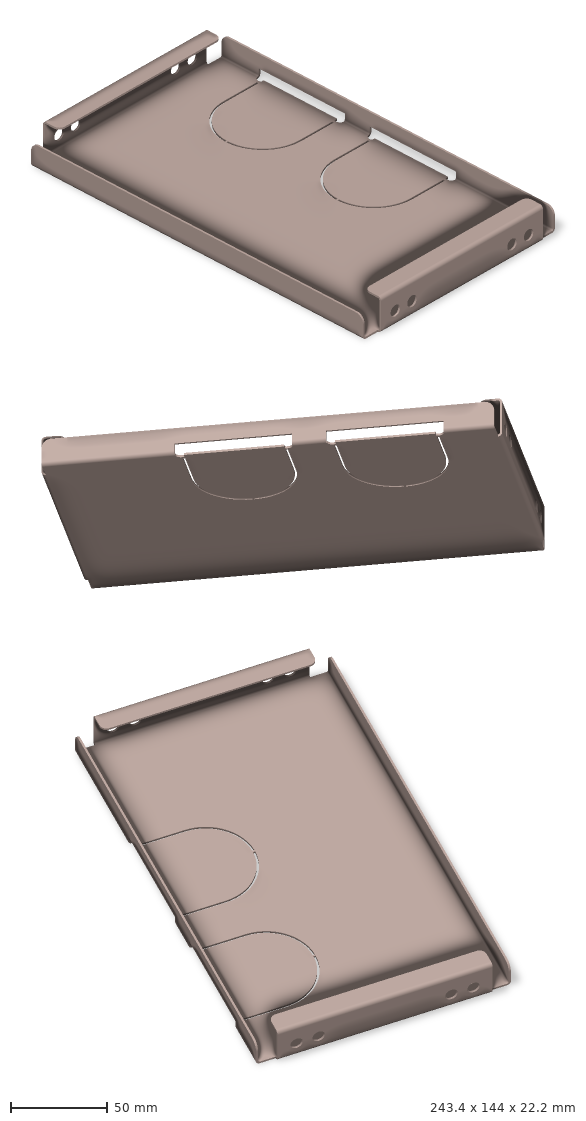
import cadquery as cq

length_x = 243.4
width_y = 144.0
height_z = 22.2
sheet = 1.2
bend_inner = 1.0
bend_outer = bend_inner + sheet

end_flange_height = 15.0
end_flange_length = length_x - 2 * bend_outer
end_flange_corner = 5.0

side_flange_length = 121.6
lip_width = 12.0
lip_corner = 4.0
hole_diameter = 7.0
hole_height = 9.0
hole_offsets_y = (37.5, 50.0)

floor_half_y = width_y / 2 - bend_outer

tab_spacing = 80.0
first_tab_x = -61.7
tab_centers_x = (first_tab_x, first_tab_x + tab_spacing)
tab_radius = 26.5
slot_width = 1.25
slot_outer_radius = tab_radius + slot_width
slot_arc_center_y = 41.5
slot_top_y = 66.0
joint_width = 1.0

relief_radius = 3.0
relief_center_y = 70.5
relief_offset_x = 28.0
window_width = 2 * (relief_offset_x + relief_radius)
window_top = 6.0


def end_channel():
    """Floor with the front and back flanges bent up, corners rounded."""
    channel = (
        cq.Workplane("XY")
        .box(end_flange_length, width_y, end_flange_height, centered=(True, True, False))
        .edges("|X and <Z")
        .fillet(bend_outer)
    )
    cavity = (
        cq.Workplane("XY", origin=(0, 0, sheet))
        .box(end_flange_length, width_y - 2 * sheet, end_flange_height, centered=(True, True, False))
        .edges("|X and <Z")
        .fillet(bend_inner)
    )
    return channel.cut(cavity).edges("|Y and >Z").fillet(end_flange_corner)


def side_channel():
    """Floor strip with both side flanges bent up and their lips bent inward."""
    tube = (
        cq.Workplane("XY")
        .box(length_x, side_flange_length, height_z, centered=(True, True, False))
        .edges("|Y")
        .fillet(bend_outer)
    )
    bore = (
        cq.Workplane("XY", origin=(0, 0, sheet))
        .box(length_x - 2 * sheet, side_flange_length, height_z - 2 * sheet, centered=(True, True, False))
        .edges("|Y")
        .fillet(bend_inner)
    )
    opening = (
        cq.Workplane("XY", origin=(0, 0, height_z / 2))
        .box(length_x - 2 * lip_width, side_flange_length, height_z, centered=(True, True, False))
    )
    channel = tube.cut(bore).cut(opening)
    lip_zone = cq.selectors.BoxSelector(
        (-length_x / 2 + bend_outer, -width_y, height_z - bend_outer),
        (length_x / 2 - bend_outer, width_y, height_z),
    )
    return channel.edges("|Z").edges(lip_zone).fillet(lip_corner)


def flange_holes():
    """Round holes through both side flanges."""
    points = [(side * offset, hole_height) for side in (-1, 1) for offset in hole_offsets_y]
    return (
        cq.Workplane("YZ")
        .pushPoints(points)
        .circle(hole_diameter / 2)
        .extrude(length_x / 2, both=True)
    )


def u_profile(center_x, radius, top_y):
    """U-shaped solid through the floor, round toward the front and flat at top_y."""
    return (
        cq.Workplane("XY")
        .moveTo(center_x - radius, top_y)
        .lineTo(center_x - radius, slot_arc_center_y)
        .threePointArc((center_x, slot_arc_center_y - radius), (center_x + radius, slot_arc_center_y))
        .lineTo(center_x + radius, top_y)
        .close()
        .extrude(sheet)
    )


def tab_slot(center_x):
    """U slot around a tab, broken by a thin joint at the bottom of the arc.

    The slot stops short of the corner reliefs, which leaves a joint at each top end.
    """
    slot = u_profile(center_x, slot_outer_radius, slot_top_y).cut(
        u_profile(center_x, tab_radius, slot_top_y)
    )
    joint_y = slot_arc_center_y - (tab_radius + slot_outer_radius) / 2
    joint = (
        cq.Workplane("XY", origin=(center_x, joint_y, 0))
        .box(joint_width, 2 * slot_width, sheet, centered=(True, True, False))
    )
    return slot.cut(joint)


def corner_reliefs(center_x):
    """Round reliefs at both upper corners of a tab, leaving the tab itself whole."""
    centers = [(center_x + side * relief_offset_x, relief_center_y) for side in (-1, 1)]
    return (
        cq.Workplane("XY")
        .pushPoints(centers)
        .circle(relief_radius)
        .extrude(sheet)
        .cut(u_profile(center_x, tab_radius, floor_half_y))
    )


def flange_window(center_x):
    """Opening through the bend and the lower part of the back flange."""
    return (
        cq.Workplane("XY", origin=(center_x, floor_half_y, 0))
        .box(window_width, bend_outer, window_top, centered=(True, False, False))
    )


result = end_channel().union(side_channel()).cut(flange_holes())
for tab_center_x in tab_centers_x:
    result = result.cut(tab_slot(tab_center_x))
    result = result.cut(corner_reliefs(tab_center_x))
    result = result.cut(flange_window(tab_center_x))